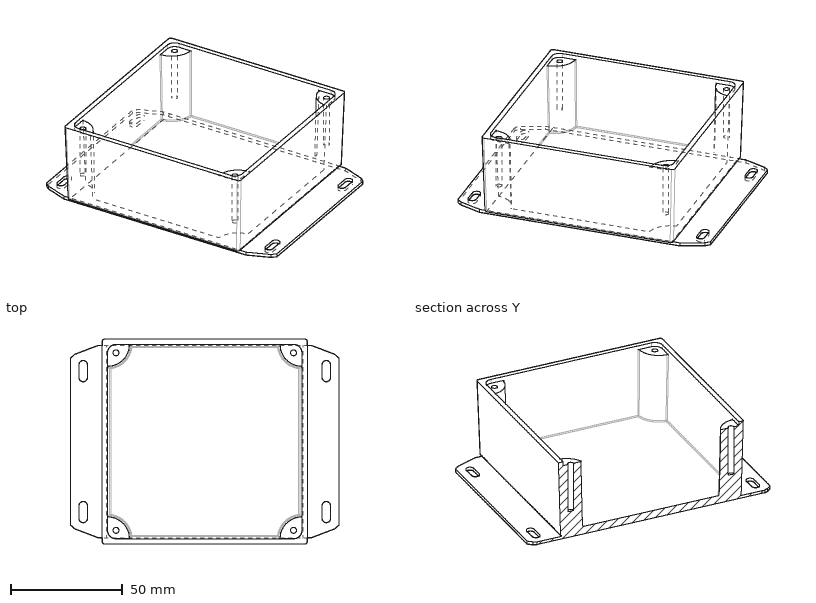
import cadquery as cq
import math

plate_length = 120.6
plate_width = 86.4
plate_thickness = 1.6
shoulder_x = 47.8
nose_x = 58.3
nose_y = 39.2
end_half_width = 37.4

slot_x = 54.5
slot_y = 31.6
slot_length = 9.4
slot_width = 3.7

total_height = 39.5
box_size = 92.0
wall_draft = 1.6
outer_corner_radius = 1.2
bottom_edge_radius = 0.8

rim_width = 2.4
inner_corner_radius = 3.7
floor_thickness = 2.5
inner_fillet = 0.5

boss_drop = 1.9
boss_radius = 9.8
boss_draft = 1.2
screw_offset = 39.8
screw_hole_diameter = 2.7
screw_hole_depth = 24.1

cavity_size = box_size - 2 * rim_width
floor_z = plate_thickness + floor_thickness
boss_top_z = total_height - boss_drop
SIGNS = (-1, 1)


def corner_points(x, y):
    return [(sx * x, sy * y) for sx in SIGNS for sy in SIGNS]


def drafted_block(size, top_z, bottom_z):
    """Square block with drafted sides that narrows downward from its top face."""
    return (
        cq.Workplane("XY", origin=(0, 0, top_z))
        .rect(size, size)
        .extrude(bottom_z - top_z, taper=wall_draft)
    )


def round_upright_edges(solid, radius):
    """Round the edges that rise from the bottom face to the top face."""
    return solid.edges("not(<Z or >Z)").fillet(radius)


def make_plate():
    half_length = plate_length / 2
    half_width = plate_width / 2
    quarter = [
        (half_length, end_half_width),
        (nose_x, nose_y),
        (shoulder_x, half_width),
    ]
    outline = quarter + [(-x, y) for x, y in reversed(quarter)]
    outline += [(-x, -y) for x, y in outline]
    plate = cq.Workplane("XY").polyline(outline).close().extrude(plate_thickness)
    slots = (
        cq.Workplane("XY")
        .pushPoints(corner_points(slot_x, slot_y))
        .slot2D(slot_length, slot_width, 90)
        .extrude(plate_thickness)
    )
    return plate.cut(slots)


def make_box_body():
    body = drafted_block(box_size, total_height, plate_thickness)
    body = round_upright_edges(body, outer_corner_radius)
    return body.faces("<Z").edges().fillet(bottom_edge_radius)


def make_bosses(corner):
    """Tapered round bosses centred on the pocket corners at (+-corner, +-corner)."""
    depth = boss_top_z - floor_z
    foot_radius = boss_radius + depth * math.tan(math.radians(boss_draft))
    profile = [
        (0, floor_z),
        (foot_radius, floor_z),
        (boss_radius, boss_top_z),
        (0, boss_top_z),
    ]
    boss = cq.Workplane("XZ").polyline(profile).close().revolve(360, (0, 0), (0, 1))
    bosses = cq.Workplane("XY")
    for x, y in corner_points(corner, corner):
        bosses = bosses.add(boss.translate((x, y, 0)))
    return bosses.combine()


def make_main_pocket():
    """Pocket from the boss tops down to the floor, leaving the bosses standing."""
    size = cavity_size - 2 * boss_drop * math.tan(math.radians(wall_draft))
    pocket = drafted_block(size, boss_top_z, floor_z)
    pocket = pocket.cut(make_bosses(size / 2))
    return pocket.edges("not >Z").fillet(inner_fillet)


def make_rim_pocket():
    """Shallow pocket above the bosses, with rounded corners."""
    pocket = drafted_block(cavity_size, total_height, boss_top_z)
    return round_upright_edges(pocket, inner_corner_radius)


def make_screw_holes():
    return (
        cq.Workplane("XY", origin=(0, 0, boss_top_z))
        .pushPoints(corner_points(screw_offset, screw_offset))
        .circle(screw_hole_diameter / 2)
        .extrude(-screw_hole_depth)
    )


box = make_box_body().cut(make_rim_pocket()).cut(make_main_pocket()).cut(make_screw_holes())
result = box.union(make_plate())